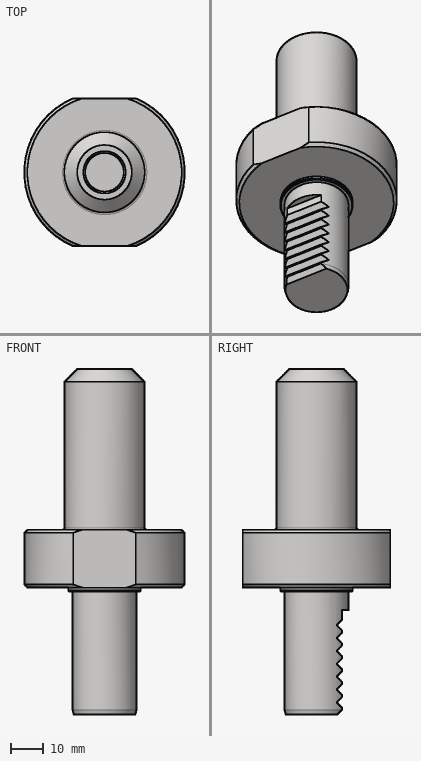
import cadquery as cq
import math


flange_diameter = 50.0
flange_height = 18.0
flange_across_flats = 46.0
flange_chamfer = 1.0

spigot_diameter = 25.0
spigot_length = 50.0
spigot_chamfer = 4.0
spigot_root_fillet = 0.6

bore_diameter = 12.0
bore_depth = 30.0
countersink_diameter = 13.2
countersink_half_angle = 30.0

collar_diameter = 22.6
collar_height = 1.3
collar_lead_in_height = 0.45
collar_lead_in_angle = 30.0
shank_diameter = 20.0
shank_length = 39.5
shank_lead_in_height = 1.5
shank_lead_in_angle = 15.0

rack_start_depth = 7.0
rack_crest_offset = 8.0
tooth_pitch = 4.0
tooth_depth = 1.7
lowest_root_depth = 39.7
root_count = 8

spigot_top = flange_height + spigot_length
spigot_radius = spigot_diameter / 2
shank_radius = shank_diameter / 2


def make_flange():
    disc = cq.Workplane("XY").circle(flange_diameter / 2).extrude(flange_height)
    disc = disc.edges().chamfer(flange_chamfer)
    between_flats = cq.Workplane("XY").rect(flange_diameter, flange_across_flats).extrude(flange_height)
    return disc.intersect(between_flats)


def make_spigot():
    """Revolved spigot with a chamfered tip and a concave fillet where it meets the flange."""
    fillet_bulge = spigot_root_fillet * (1 - math.sqrt(0.5))
    profile = (
        cq.Workplane("XZ")
        .moveTo(0, flange_height)
        .lineTo(spigot_radius + spigot_root_fillet, flange_height)
        .threePointArc(
            (spigot_radius + fillet_bulge, flange_height + fillet_bulge),
            (spigot_radius, flange_height + spigot_root_fillet),
        )
        .lineTo(spigot_radius, spigot_top - spigot_chamfer)
        .lineTo(spigot_radius - spigot_chamfer, spigot_top)
        .lineTo(0, spigot_top)
        .close()
    )
    return profile.revolve(360, (0, 0, 0), (0, 1, 0))


def make_bore():
    """Cutter for the blind bore and its conical mouth."""
    bore_radius = bore_diameter / 2
    mouth_radius = countersink_diameter / 2
    mouth_depth = (mouth_radius - bore_radius) / math.tan(math.radians(countersink_half_angle))
    profile = (
        cq.Workplane("XZ")
        .moveTo(0, spigot_top)
        .lineTo(mouth_radius, spigot_top)
        .lineTo(bore_radius, spigot_top - mouth_depth)
        .lineTo(bore_radius, spigot_top - bore_depth)
        .lineTo(0, spigot_top - bore_depth)
        .close()
    )
    return profile.revolve(360, (0, 0, 0), (0, 1, 0))


def make_tapered_pin(diameter, length, lead_in_height, lead_in_angle):
    """Pin reaching down from Z = 0, tapering slightly over the last lead_in_height of its length."""
    lead_in_width = lead_in_height * math.tan(math.radians(lead_in_angle))
    pin = cq.Workplane("XY").circle(diameter / 2).extrude(-length)
    return pin.faces("<Z").chamfer(lead_in_height, lead_in_width)


def make_shank():
    """Collar and shank, each with a slim lead-in taper at its lower end."""
    collar = make_tapered_pin(collar_diameter, collar_height, collar_lead_in_height, collar_lead_in_angle)
    shank = make_tapered_pin(shank_diameter, shank_length, shank_lead_in_height, shank_lead_in_angle)
    return collar.union(shank)


def make_rack_cut():
    """Cutter for the flat on the shank and the V-shaped tooth gaps sunk into it."""
    flat_depth = shank_radius - rack_crest_offset
    cut = cq.Workplane("XY").box(
        shank_diameter, flat_depth, shank_length - rack_start_depth, centered=(True, False, False)
    )
    cut = cut.translate((0, rack_crest_offset, -shank_length))
    for index in range(root_count):
        root_z = -lowest_root_depth + index * tooth_pitch
        gap = (
            cq.Workplane("YZ")
            .moveTo(rack_crest_offset, root_z - tooth_depth)
            .lineTo(rack_crest_offset - tooth_depth, root_z)
            .lineTo(rack_crest_offset, root_z + tooth_depth)
            .close()
            .extrude(shank_radius, both=True)
        )
        cut = cut.union(gap)
    return cut


result = (
    make_flange()
    .union(make_spigot())
    .cut(make_bore())
    .union(make_shank().cut(make_rack_cut()))
)